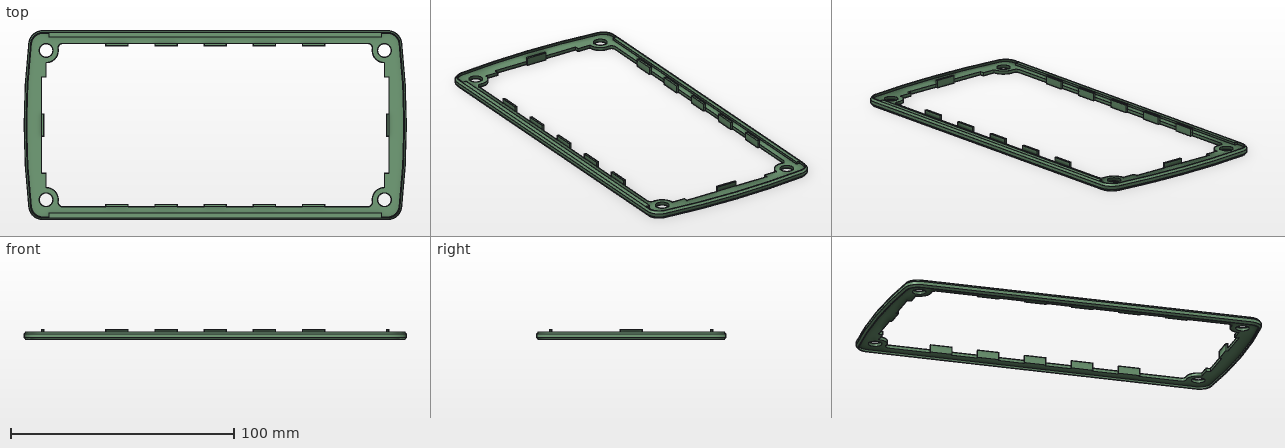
import cadquery as cq
import math

LENGTH = 171.1
WIDTH = 84.6
FRAME_HEIGHT = 3.5
TOTAL_HEIGHT = 4.5

END_BOW_RADIUS = 320.0
CORNER_RADIUS = 6.4
CHAMFER_HEIGHT = 1.0
CHAMFER_INSET = 0.8

FLOOR_Z = 2.5
PLATE_BOTTOM_Z = 1.0
LIP_WIDTH = 0.4
RAIL_WIDTH = 2.1
RAIL_LENGTH = 149.0

OPENING_LENGTH = 151.4
OPENING_WIDTH = 73.0
NOTCH_DEPTH = 2.0
NOTCH_WIDTH = 43.0

HOLE_DIAMETER = 6.0
HOLE_X = 75.7
HOLE_Y = 33.4
BOSS_RADIUS = 5.5
BOSS_FILLET = 2.0

TAB_LENGTH = 10.0
TAB_THICKNESS = 1.0
TAB_PITCH = 22.0
TABS_PER_LONG_SIDE = 5

SIDES = (-1, 1)


def outer_block(inset, bottom_z, top_z):
    """Block following the outer outline, moved inward by `inset`."""
    half_length = LENGTH / 2 - inset
    half_width = WIDTH / 2 - inset
    bow_radius = END_BOW_RADIUS - inset
    bow_depth = bow_radius - math.sqrt(bow_radius**2 - half_width**2)
    corner_x = half_length - bow_depth
    return (
        cq.Workplane("XY", origin=(0, 0, bottom_z))
        .moveTo(-corner_x, -half_width)
        .lineTo(corner_x, -half_width)
        .threePointArc((half_length, 0), (corner_x, half_width))
        .lineTo(-corner_x, half_width)
        .threePointArc((-half_length, 0), (-corner_x, -half_width))
        .close()
        .extrude(top_z - bottom_z)
        .edges("|Z")
        .fillet(CORNER_RADIUS - inset)
    )


def upright_box(length, width, bottom_z, top_z, x=0.0, y=0.0):
    """Box centred at (x, y) between two heights."""
    base = cq.Workplane("XY", origin=(x, y, bottom_z))
    return base.rect(length, width).extrude(top_z - bottom_z)


def floor_recess():
    """Space above the floor, left open by the lip and the two rails."""
    recess = outer_block(CHAMFER_INSET + LIP_WIDTH, FLOOR_Z, FRAME_HEIGHT)
    rail_y = WIDTH / 2 - CHAMFER_INSET - RAIL_WIDTH / 2
    for side in SIDES:
        y = side * rail_y
        recess = recess.cut(upright_box(RAIL_LENGTH, RAIL_WIDTH, FLOOR_Z, FRAME_HEIGHT, y=y))
    return recess


def underside_recess():
    """Space below the plate, inside the rim."""
    return outer_block(CHAMFER_INSET + LIP_WIDTH, 0, PLATE_BOTTOM_Z)


def corner_cylinders(radius):
    """Four upright cylinders centred on the screw holes."""
    return (
        cq.Workplane("XY")
        .rect(2 * HOLE_X, 2 * HOLE_Y, forConstruction=True)
        .vertices()
        .circle(radius)
        .extrude(FRAME_HEIGHT)
    )


def opening():
    """Central opening with bosses biting into its corners and notched ends."""
    space = upright_box(OPENING_LENGTH, OPENING_WIDTH, 0, FRAME_HEIGHT)
    space = space.cut(corner_cylinders(BOSS_RADIUS))
    space = space.edges("|Z and (>Y or <Y)").fillet(BOSS_FILLET)
    notch_length = OPENING_LENGTH + 2 * NOTCH_DEPTH
    return space.union(upright_box(notch_length, NOTCH_WIDTH, 0, FRAME_HEIGHT))


def add_tabs(body):
    """Tabs on the walls of the opening: a row on each long side, one at each end."""
    long_side_y = (OPENING_WIDTH - TAB_THICKNESS) / 2
    end_x = OPENING_LENGTH / 2 + NOTCH_DEPTH - TAB_THICKNESS / 2
    middle = (TABS_PER_LONG_SIDE - 1) / 2
    for side in SIDES:
        for index in range(TABS_PER_LONG_SIDE):
            x = (index - middle) * TAB_PITCH
            y = side * long_side_y
            tab = upright_box(TAB_LENGTH, TAB_THICKNESS, PLATE_BOTTOM_Z, TOTAL_HEIGHT, x, y)
            body = body.union(tab)
        x = side * end_x
        tab = upright_box(TAB_THICKNESS, TAB_LENGTH, PLATE_BOTTOM_Z, TOTAL_HEIGHT, x)
        body = body.union(tab)
    return body


frame = outer_block(inset=0, bottom_z=0, top_z=FRAME_HEIGHT)
frame = frame.faces("<Z or >Z").chamfer(CHAMFER_HEIGHT, CHAMFER_INSET)
frame = frame.cut(floor_recess()).cut(underside_recess())
frame = frame.cut(opening()).cut(corner_cylinders(HOLE_DIAMETER / 2))
result = add_tabs(frame)